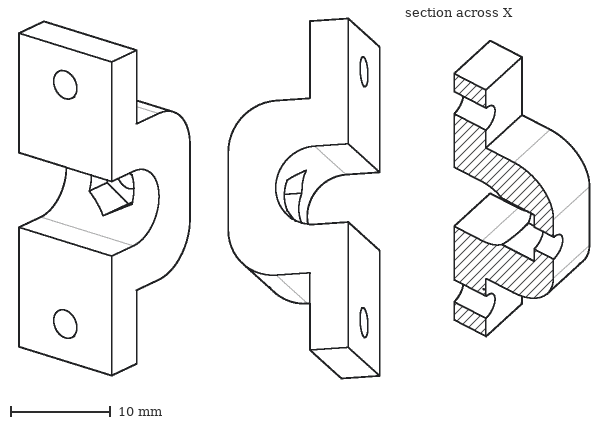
import cadquery as cq
import math

width = 12.0
saddle_depth = 12.5
channel_diameter = 8.1
channel_centre_y = 3.5
side_wall = 5.0
corner_radius = 5.0
flange_length = 8.0
flange_thickness = 4.0
flange_hole_spacing = 26.0
screw_diameter = 3.0
nut_across_flats = 5.5
nut_pocket_depth = 2.5

channel_radius = channel_diameter / 2
channel_depth = channel_centre_y + channel_radius
saddle_half_height = channel_radius + side_wall
half_height = saddle_half_height + flange_length
nut_across_corners = nut_across_flats / math.cos(math.radians(30))


def centred_box(depth, height):
    """Full-width block from Y = 0 to the given depth, centred on X and Z."""
    return cq.Workplane("XY").box(width, depth, height, centered=(True, False, True))


def clamp_body():
    """Saddle with rounded back corners joined to the flange plate."""
    saddle = centred_box(saddle_depth, 2 * saddle_half_height).edges("|X and >Y").fillet(corner_radius)
    return saddle.union(centred_box(flange_thickness, 2 * half_height))


def channel():
    """U-shaped channel: straight sides ending in a half-round floor."""
    straight = centred_box(channel_centre_y, channel_diameter)
    round_floor = (
        cq.Workplane("YZ")
        .center(channel_centre_y, 0)
        .circle(channel_radius)
        .extrude(width / 2, both=True)
    )
    return straight.union(round_floor)


def screw_holes():
    """Holes along Y through both flanges and the middle of the saddle."""
    hole_centres = [(0, step * flange_hole_spacing / 2) for step in (-1, 0, 1)]
    return (
        cq.Workplane("XZ")
        .pushPoints(hole_centres)
        .circle(screw_diameter / 2)
        .extrude(-saddle_depth)
    )


def nut_pocket():
    """Hexagonal pocket sunk into the channel floor, with corners pointing along Z."""
    return (
        cq.Workplane("XZ")
        .transformed(rotate=(0, 0, 90))
        .polygon(6, nut_across_corners)
        .extrude(-(channel_depth + nut_pocket_depth))
    )


result = clamp_body().cut(channel()).cut(screw_holes()).cut(nut_pocket())